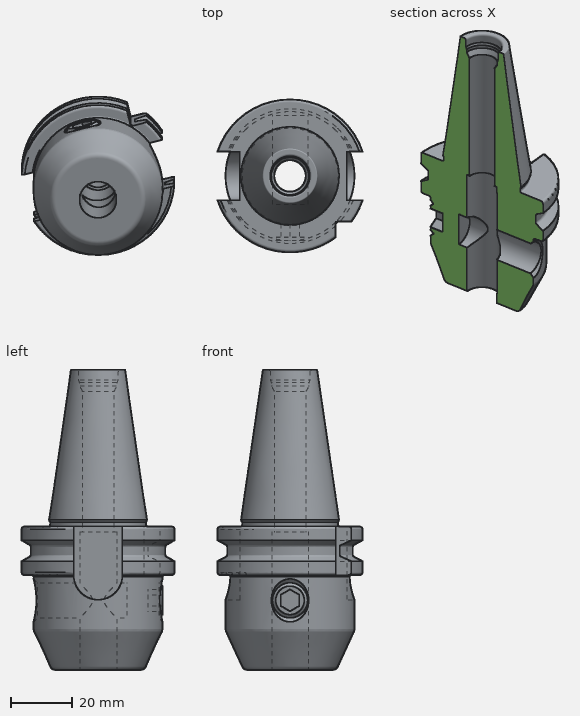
import cadquery as cq
import math

total_height = 97.8
gauge_height = 50.0
gauge_diameter = 31.7
taper_rate = 7 / 24

flange_diameter = 49.9
flange_bottom = 30.9
flange_top = 46.7
flange_rim_radius = 1.0

groove_center = 38.8
groove_opening = 6.8
groove_diameter = 43.9
groove_side_angle = 30
groove_floor_radius = 0.7

taper_end = 48.9
neck_diameter = 31.3
neck_height = 48.1
neck_base_radius = 0.6
end_radius = 0.4

body_diameter = 42.1
body_top_radius = 0.5
nose_diameter = 30.1
nose_height = 12.9
nose_edge_radius = 2.0
shoulder_radius = 2.0

tool_bore_diameter = 12.0
tool_bore_depth = 45.0
through_bore_diameter = 10.2
pilot_diameter = 12.9
pilot_depth = 3.2
pilot_edge_radius = 0.8
seat_diameter = 12.3
seat_top_depth = 4.1
seat_depth = 5.2
seat_cone_angle = 60

drive_slot_width = 15.8
drive_slot_bottom = 22.9
left_slot_x = -16.4
right_slot_x = 18.5

notch_x = 14.9
notch_y = -14.9

screw_height = 22.7
screw_diameter = 11.4
screw_chamfer = 1.1
screw_length = 11.7
screw_face_y = -21.0
countersink_diameter = 14.0
hex_across_flats = 6.2
hex_depth = 4.9

EDGE_TOLERANCE = 0.001
CUT_MARGIN = 1.0


def taper_radius(z):
    return (gauge_diameter - taper_rate * (z - gauge_height)) / 2


def revolve_outline(points):
    return cq.Workplane("XZ").polyline(points).close().revolve(360, (0, 0), (0, 1))


def round_circles(solid, radius, *circles):
    """Fillet the circular edges given as (edge radius, height) around the part axis."""
    edges = solid.edges("%CIRCLE").filter(
        lambda edge: any(
            math.isclose(edge.radius(), size, abs_tol=EDGE_TOLERANCE)
            and math.isclose(edge.Center().z, height, abs_tol=EDGE_TOLERANCE)
            for size, height in circles
        )
    )
    return edges.fillet(radius)


def make_outside():
    """Blunt nose, body, grooved flange, neck and steep taper as one turned solid."""
    nose = nose_diameter / 2
    body = body_diameter / 2
    rim = flange_diameter / 2
    floor = groove_diameter / 2
    neck = neck_diameter / 2
    tip = taper_radius(total_height)

    groove_rise = (rim - floor) * math.tan(math.radians(groove_side_angle))
    half_opening = groove_opening / 2
    floor_bottom = groove_center - half_opening + groove_rise
    floor_top = groove_center + half_opening - groove_rise

    outline = [
        (0, 0),
        (nose, 0),
        (body, nose_height),
        (body, flange_bottom),
        (rim, flange_bottom),
        (rim, groove_center - half_opening),
        (floor, floor_bottom),
        (floor, floor_top),
        (rim, groove_center + half_opening),
        (rim, flange_top),
        (neck, flange_top),
        (neck, neck_height),
        (taper_radius(taper_end), taper_end),
        (tip, total_height),
        (0, total_height),
    ]
    solid = revolve_outline(outline)
    solid = round_circles(solid, nose_edge_radius, (nose, 0))
    solid = round_circles(solid, shoulder_radius, (body, nose_height))
    solid = round_circles(solid, body_top_radius, (body, flange_bottom))
    solid = round_circles(solid, flange_rim_radius, (rim, flange_bottom), (rim, flange_top))
    solid = round_circles(solid, groove_floor_radius, (floor, floor_bottom), (floor, floor_top))
    solid = round_circles(solid, neck_base_radius, (neck, flange_top))
    return round_circles(solid, end_radius, (tip, total_height))


def make_bore():
    """Tool bore from below, through hole, and stepped conical recess from above."""
    tool = tool_bore_diameter / 2
    through = through_bore_diameter / 2
    pilot = pilot_diameter / 2
    seat = seat_diameter / 2
    seat_floor = total_height - seat_depth
    cone_depth = (seat - through) * math.tan(math.radians(seat_cone_angle))
    outline = [
        (0, 0),
        (tool, 0),
        (tool, tool_bore_depth),
        (through, tool_bore_depth),
        (through, seat_floor - cone_depth),
        (seat, seat_floor),
        (seat, total_height - seat_top_depth),
        (pilot, total_height - pilot_depth),
        (pilot, total_height),
        (0, total_height),
    ]
    return revolve_outline(outline)


def make_drive_slot(floor_x, side):
    """Round-bottomed slot cut inward from the rim on the given X side."""
    half_width = drive_slot_width / 2
    arc_center = drive_slot_bottom + half_width
    return (
        cq.Workplane("YZ", origin=(floor_x, 0, 0))
        .moveTo(-half_width, flange_top)
        .lineTo(-half_width, arc_center)
        .threePointArc((0, drive_slot_bottom), (half_width, arc_center))
        .lineTo(half_width, flange_top)
        .close()
        .extrude(side * flange_diameter / 2)
    )


def make_notch():
    """Square corner cut through the flange only."""
    size = flange_diameter / 2
    block = cq.Workplane("XY").box(size, size, flange_top - flange_bottom, centered=False)
    return block.translate((notch_x, notch_y - size, flange_bottom))


def make_screw_hole():
    """Cross hole through both walls with a 45 degree countersink at each end."""
    hole = screw_diameter / 2
    sink = countersink_diameter / 2
    wall = body_diameter / 2
    sink_start = wall - (sink - hole)
    reach = wall + CUT_MARGIN
    outline = [
        (0, -reach),
        (sink + CUT_MARGIN, -reach),
        (hole, -sink_start),
        (hole, sink_start),
        (sink + CUT_MARGIN, reach),
        (0, reach),
    ]
    hole_shape = cq.Workplane("XY").polyline(outline).close().revolve(360, (0, 0), (0, 1))
    return hole_shape.translate((0, 0, screw_height))


def make_screw():
    """Clamping screw with a chamfered face and a hexagon socket."""
    face = cq.Workplane("XZ", origin=(0, screw_face_y, screw_height))
    screw = face.circle(screw_diameter / 2).extrude(-screw_length)
    screw = screw.faces("<Y").chamfer(screw_chamfer)
    hex_corners = hex_across_flats / math.cos(math.pi / 6)
    socket = face.transformed(rotate=(0, 0, 90)).polygon(6, hex_corners).extrude(-hex_depth)
    return screw.cut(socket)


result = make_outside().cut(make_bore())
result = round_circles(result, pilot_edge_radius, (pilot_diameter / 2, total_height))
result = result.cut(make_drive_slot(left_slot_x, -1))
result = result.cut(make_drive_slot(right_slot_x, 1))
result = result.cut(make_notch())
result = result.cut(make_screw_hole())
result = result.union(make_screw())